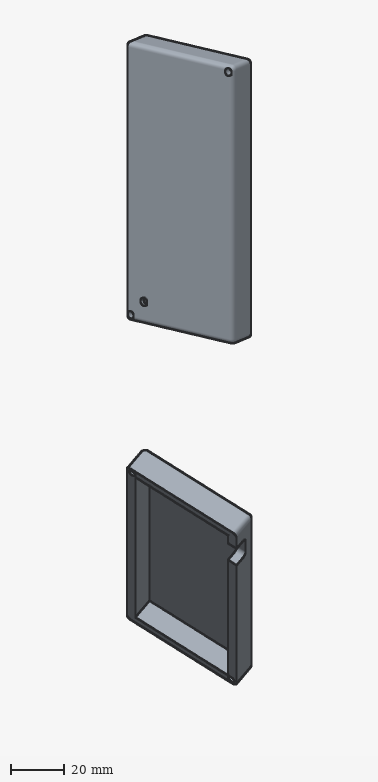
import cadquery as cq

width = 51.0
depth = 11.0
height = 110.0
edge_radius = 2.0

wall = 4.0
plate = 2.0

screw_diameter = 2.94
screw_inset = 2.5
plate_hole_diameter = 3.17
plate_hole_x = 8.8
plate_hole_z = 8.9

notch_bottom = 88.05
notch_top = 100.15
notch_depth = 5.8
notch_corner_radius = 2.0


def make_shell():
    """Rounded box, sharp around its open back, with a rectangular cavity."""
    body = cq.Workplane("XY").box(width, depth, height, centered=False)
    body = body.edges("|Y").fillet(edge_radius)
    body = body.faces("<Y").edges().fillet(edge_radius)
    cavity = cq.Workplane("XY").box(
        width - 2 * wall, depth - plate, height - 2 * wall, centered=False
    )
    return body.cut(cavity.translate((wall, plate, wall)))


def make_hole(x, z, diameter):
    """Cylinder along Y that passes through the whole depth."""
    circle = cq.Workplane("XZ").center(x, z).circle(diameter / 2)
    return circle.extrude(-depth)


def make_notch():
    """Cutter for the cable notch, with rounded inner corners."""
    notch = cq.Workplane("XY").box(wall, notch_depth, notch_top - notch_bottom, centered=False)
    notch = notch.edges("|X and <Y").fillet(notch_corner_radius)
    return notch.translate((0, depth - notch_depth, notch_bottom))


result = make_shell()
result = result.cut(make_notch())
result = result.cut(make_hole(screw_inset, screw_inset, screw_diameter))
result = result.cut(make_hole(width - screw_inset, height - screw_inset, screw_diameter))
result = result.cut(make_hole(plate_hole_x, plate_hole_z, plate_hole_diameter))